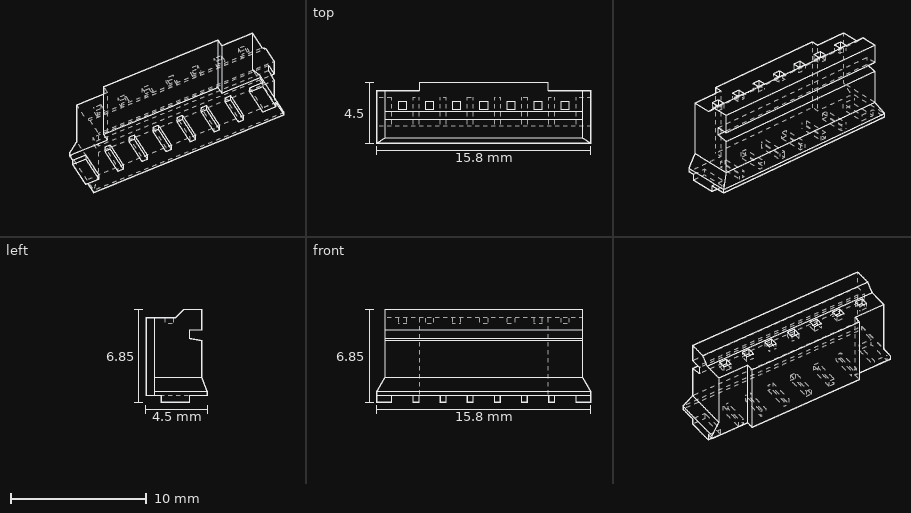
import cadquery as cq

total_height = 6.85
base_length = 15.8
body_length = 14.6
front_y = 0.0

flare_depth = 0.4
body_front_y = front_y + flare_depth
groove_depth = 0.9
groove_back_y = body_front_y + groove_depth
body_back_y = 3.9
total_depth = 4.5
ridge_back_y = 1.75

foot_height = 0.5
rim_height = 0.3
flare_height = 1.04
base_z = foot_height
rim_top_z = base_z + rim_height
ridge_height = 0.6
deck_z = total_height - ridge_height
ridge_slope_end_y = ridge_back_y + ridge_height

groove_top_z = 5.33
groove_inner_z = 4.72
groove_outer_z = 4.56

rear_block_length = 9.5

contact_count = 7
contact_pitch = 2.0
pocket_width = 0.6
pocket_length_y = 0.6
pocket_center_y = 2.8
pocket_depth = 0.45

foot_back_y = 3.4
end_foot_width = 1.1
rib_width = 0.45


def box_between(x_min, x_max, y_min, y_max, z_min, z_max):
    """Axis-aligned box given by its limits."""
    box = cq.Workplane("XY").box(x_max - x_min, y_max - y_min, z_max - z_min, centered=False)
    return box.translate((x_min, y_min, z_min))


def row_positions(count):
    """X positions of a centred row at the contact pitch."""
    return [(index - (count - 1) / 2) * contact_pitch for index in range(count)]


def make_body():
    """Main housing: side profile with top ridge and latch groove, swept along X."""
    profile = [
        (body_front_y, base_z),
        (body_front_y, groove_outer_z),
        (groove_back_y, groove_inner_z),
        (groove_back_y, groove_top_z),
        (body_front_y, groove_top_z),
        (body_front_y, total_height),
        (ridge_back_y, total_height),
        (ridge_slope_end_y, deck_z),
        (body_back_y, deck_z),
        (body_back_y, base_z),
    ]
    return cq.Workplane("YZ").polyline(profile).close().extrude(body_length / 2, both=True)


def make_base():
    """Flared base: vertical rim, then slopes up to the body on the front and both ends."""
    half_base = base_length / 2
    rim = box_between(-half_base, half_base, front_y, body_back_y, base_z, rim_top_z)
    flare = (
        cq.Workplane("XY", origin=(0, 0, rim_top_z))
        .center(0, (front_y + body_back_y) / 2)
        .rect(base_length, body_back_y - front_y)
        .workplane(offset=flare_height)
        .center(0, (body_front_y - front_y) / 2)
        .rect(body_length, body_back_y - body_front_y)
        .loft(ruled=True)
    )
    return rim.union(flare)


def make_rear_block():
    """Raised block on the back face, flush with the deck and the base underside."""
    half_length = rear_block_length / 2
    return box_between(-half_length, half_length, body_back_y, total_depth, base_z, deck_z)


def make_foot(center_x, width):
    """One foot below the base."""
    half_width = width / 2
    return box_between(
        center_x - half_width, center_x + half_width, groove_back_y, foot_back_y, 0, base_z
    )


def make_pocket(center_x):
    """Square contact pocket sunk into the deck."""
    half_width = pocket_width / 2
    half_length = pocket_length_y / 2
    return box_between(
        center_x - half_width,
        center_x + half_width,
        pocket_center_y - half_length,
        pocket_center_y + half_length,
        deck_z - pocket_depth,
        deck_z,
    )


result = make_body().union(make_base()).union(make_rear_block())

end_foot_x = (base_length - end_foot_width) / 2
for foot_x in (-end_foot_x, end_foot_x):
    result = result.union(make_foot(foot_x, end_foot_width))

for rib_x in row_positions(contact_count - 1):
    result = result.union(make_foot(rib_x, rib_width))

for pocket_x in row_positions(contact_count):
    result = result.cut(make_pocket(pocket_x))